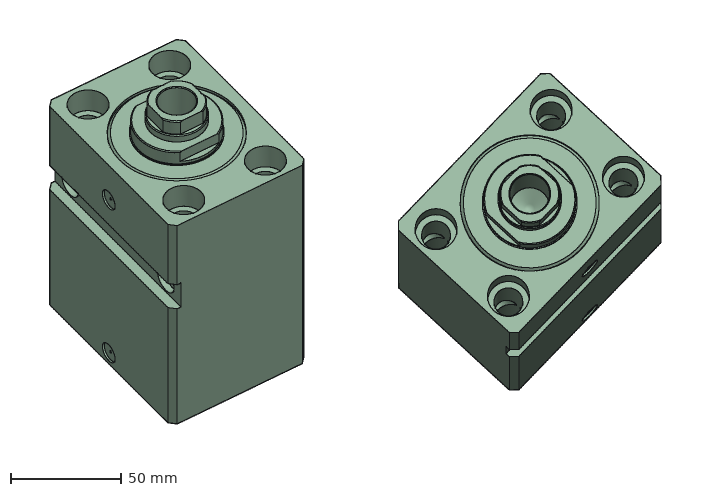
import cadquery as cq
import math

width = 100.0
depth = 75.0
total_height = 144.9

square_height = 8.0
neck_height = 4.0
shank_height = 8.0
rod_bore_dia = 18.0
rod_bore_depth = 29.0
drill_point_angle = 118.0
shank_dia = 41.9
shank_flats = 36.0
shank_flat_height = 6.0
neck_dia = 28.8
square_flats = 24.0
square_round_dia = 27.1
rod_chamfer = 0.5
rod_bore_chamfer = 0.5

housing_height = total_height - square_height - neck_height - shank_height
corner_chamfer = 3.0
hole_dia = 13.0
hole_pitch_x = 76.0
hole_pitch_y = 45.0
counterbore_dia = 19.0
counterbore_depth = 13.0
key_slot_height = 15.0
key_slot_depth = 5.0
key_slot_below_top = 37.2
key_slot_middle = housing_height - key_slot_below_top - key_slot_height / 2
port_dia = 10.0
port_depth = 1.0
port_channel_dia = 1.2
port_channel_depth = 7.2
lower_port_height = 7.0
upper_port_below_top = 21.7
upper_port_height = housing_height - upper_port_below_top

gland_dia = 63.0
gland_depth = 20.3
gland_chamfer = 1.5
lip_height = 0.5
lip_width = 0.6

gland_bottom = housing_height - gland_depth


def make_port(height):
    """Shallow round port in the -Y face with a fine channel behind it."""
    face = cq.Workplane("XZ", origin=(0, -depth / 2, height))
    port = face.circle(port_dia / 2).extrude(-port_depth)
    channel = face.circle(port_channel_dia / 2).extrude(-port_channel_depth)
    return port.union(channel)


def make_housing():
    body = cq.Workplane("XY").box(width, depth, housing_height, centered=(True, True, False))
    body = body.edges("|Z").chamfer(corner_chamfer)

    key_slot = cq.Workplane("XY").box(width, 2 * key_slot_depth, key_slot_height)
    body = body.cut(key_slot.translate((0, -depth / 2, key_slot_middle)))

    body = (
        body.faces(">Z").workplane(origin=(0, 0, housing_height))
        .rarray(hole_pitch_x, hole_pitch_y, 2, 2)
        .cboreHole(hole_dia, counterbore_dia, counterbore_depth)
    )

    cross_holes = (
        cq.Workplane("XZ", origin=(0, 0, key_slot_middle))
        .rarray(hole_pitch_x, 1.5, 2, 1)
        .circle(hole_dia / 2)
        .extrude(depth, both=True)
    )
    body = body.cut(cross_holes)

    for height in (lower_port_height, upper_port_height):
        body = body.cut(make_port(height))

    recess = cq.Workplane("XY", origin=(0, 0, gland_bottom)).circle(gland_dia / 2).extrude(gland_depth)
    return body.cut(recess)


def make_gland():
    base = cq.Workplane("XY", origin=(0, 0, gland_bottom))
    ring = base.circle(gland_dia / 2).extrude(gland_depth)
    ring = ring.faces(">Z").edges().chamfer(gland_chamfer)

    lip = base.circle(shank_dia / 2 + lip_width).extrude(gland_depth + lip_height)
    bore = base.circle(shank_dia / 2).extrude(gland_depth + lip_height)
    return ring.union(lip).cut(bore)


def make_rod():
    shank_top = housing_height + shank_height

    shank = cq.Workplane("XY", origin=(0, 0, gland_bottom)).circle(shank_dia / 2)
    shank = shank.extrude(gland_depth + shank_height).faces(">Z").edges().chamfer(rod_chamfer)
    flat_zone = cq.Workplane("XY", origin=(0, 0, shank_top - shank_flat_height))
    round_disc = flat_zone.circle(shank_dia / 2).extrude(shank_flat_height)
    flat_disc = flat_zone.rect(shank_flats, shank_dia).extrude(shank_flat_height)
    shank = shank.cut(round_disc.cut(flat_disc))

    neck = cq.Workplane("XY", origin=(0, 0, shank_top)).circle(neck_dia / 2).extrude(neck_height)
    neck = neck.faces(">Z").edges().chamfer(rod_chamfer)

    square_base = cq.Workplane("XY", origin=(0, 0, shank_top + neck_height))
    turned = square_base.circle(square_round_dia / 2).extrude(square_height)
    turned = turned.faces(">Z").edges().chamfer(rod_chamfer)
    square = square_base.rect(square_flats, square_flats).extrude(square_height)
    rod = shank.union(neck).union(turned.intersect(square))

    point_depth = rod_bore_dia / 2 / math.tan(math.radians(drill_point_angle / 2))
    bore_bottom = total_height - rod_bore_depth
    bore = (
        cq.Workplane("XZ")
        .moveTo(0, total_height)
        .lineTo(rod_bore_dia / 2 + rod_bore_chamfer, total_height)
        .lineTo(rod_bore_dia / 2, total_height - rod_bore_chamfer)
        .lineTo(rod_bore_dia / 2, bore_bottom)
        .lineTo(0, bore_bottom - point_depth)
        .close()
        .revolve(360, (0, 0, 0), (0, 1, 0))
    )
    return rod.cut(bore)


housing = make_housing()
gland = make_gland()
rod = make_rod()

result = cq.Compound.makeCompound([housing.val(), gland.val(), rod.val()])